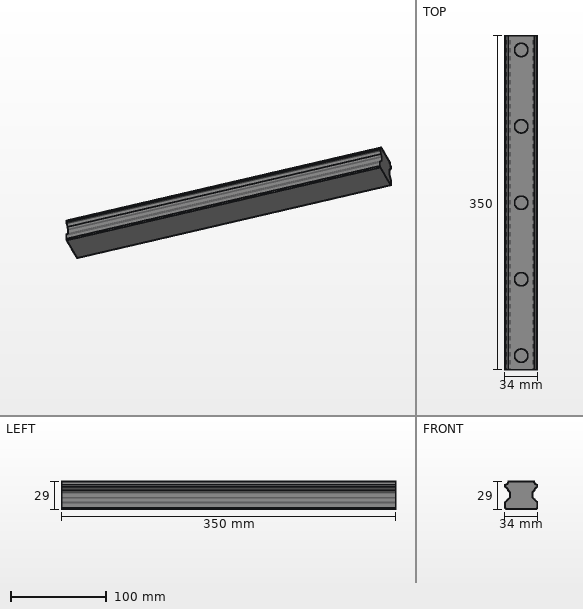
import cadquery as cq

width = 34.0
length = 350.0
height = 29.0
half_width = width / 2

base_chamfer = 1.3
foot_height = 7.1
waist_half_width = 12.0
waist_bottom = foot_height + (half_width - waist_half_width)
waist_top = 17.7
flank_half_width = 13.9
flank_top = waist_top + (flank_half_width - waist_half_width)
lip_bottom = 23.5
lip_undercut = 0.8
lip_top = 25.6
ledge_width = 1.0
ledge_half_width = half_width - ledge_width
top_half_width = 13.4
groove_radius = 4.5
foot_radius = 1.5
waist_radius = 0.8

hole_count = 5
hole_pitch = 80.0
plug_diameter = 14.0
plug_recess = 0.1


def half_rail():
    """Right half of the rail: foot, waist, ball groove under the lip and ball groove above it."""
    return (
        cq.Workplane("XZ", origin=(0, length / 2, 0))
        .moveTo(0, 0)
        .lineTo(half_width - base_chamfer, 0)
        .lineTo(half_width, base_chamfer)
        .lineTo(half_width, foot_height)
        .lineTo(waist_half_width, waist_bottom)
        .lineTo(waist_half_width, waist_top)
        .lineTo(flank_half_width, flank_top)
        .radiusArc((ledge_half_width, lip_bottom - lip_undercut), groove_radius)
        .lineTo(half_width, lip_bottom)
        .lineTo(half_width, lip_top)
        .lineTo(ledge_half_width, lip_top)
        .radiusArc((top_half_width, height), groove_radius)
        .lineTo(0, height)
        .close()
        .extrude(length)
    )


def round_corner(body, x, z, radius):
    """Fillet the lengthwise edge that passes through (x, z)."""
    edge = cq.selectors.NearestToPointSelector((x, 0, z))
    return body.edges("|Y").edges(edge).fillet(radius)


def rail_body():
    half = half_rail()
    half = round_corner(half, half_width, foot_height, foot_radius)
    half = round_corner(half, waist_half_width, waist_bottom, waist_radius)
    half = round_corner(half, waist_half_width, waist_top, waist_radius)
    return half.union(half.mirror("YZ"))


def plug_recesses():
    """Shallow discs marking the caps that close the mounting holes."""
    return (
        cq.Workplane("XY", origin=(0, 0, height - plug_recess))
        .rarray(1, hole_pitch, 1, hole_count)
        .circle(plug_diameter / 2)
        .extrude(plug_recess)
    )


result = rail_body().cut(plug_recesses())